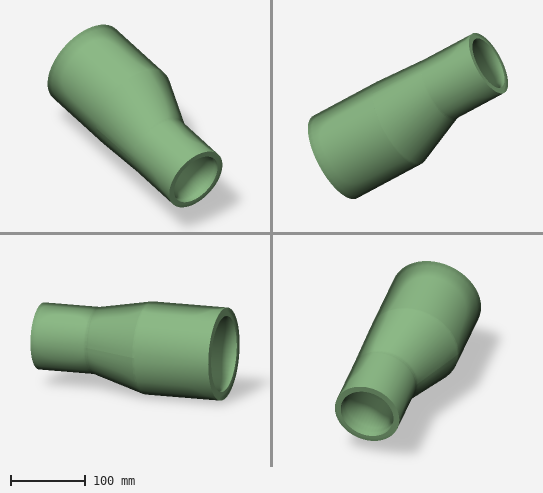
import cadquery as cq

total_length = 265.0
large_length = 106.8
taper_length = 79.5
small_length = total_length - large_length - taper_length

large_outer = 125.0
large_bore = 102.3
small_outer = 90.0
small_bore = 73.7
blend_radius = 8.0

flush_step = 0.3
small_offset_y = -(large_outer - small_outer) / 2 + flush_step

small_start = large_length + taper_length
seam_tolerance = 0.3


def cylinder_along_x(start_x, center_y, diameter, length):
    return (
        cq.Workplane("YZ", origin=(start_x, center_y, 0))
        .circle(diameter / 2)
        .extrude(length)
    )


def reducer_solid(large_diameter, small_diameter):
    """Large cylinder, skewed cone and small cylinder joined end to end."""
    large_end = cylinder_along_x(0, 0, large_diameter, large_length)
    taper = (
        cq.Workplane("YZ", origin=(large_length, 0, 0))
        .circle(large_diameter / 2)
        .workplane(offset=taper_length)
        .center(small_offset_y, 0)
        .circle(small_diameter / 2)
        .loft(ruled=True)
    )
    small_end = cylinder_along_x(small_start, small_offset_y, small_diameter, small_length)
    return large_end.union(taper).union(small_end)


def round_taper_seams(body):
    """Round both seams of the taper on the upper half, then mirror it to the lower half."""
    upper_space = cq.Workplane("XY").box(
        total_length, large_outer, large_outer, centered=(False, True, False)
    )
    upper_half = body.intersect(upper_space)
    seams = [
        edge
        for edge in upper_half.edges("%CIRCLE").vals()
        if min(abs(edge.Center().x - x) for x in (large_length, small_start)) < seam_tolerance
    ]
    rounded_half = upper_half.newObject(seams).fillet(blend_radius)
    return rounded_half.union(rounded_half.mirror("XY"))


outer_body = round_taper_seams(reducer_solid(large_outer, small_outer))
bore = reducer_solid(large_bore, small_bore)
result = outer_body.cut(bore)